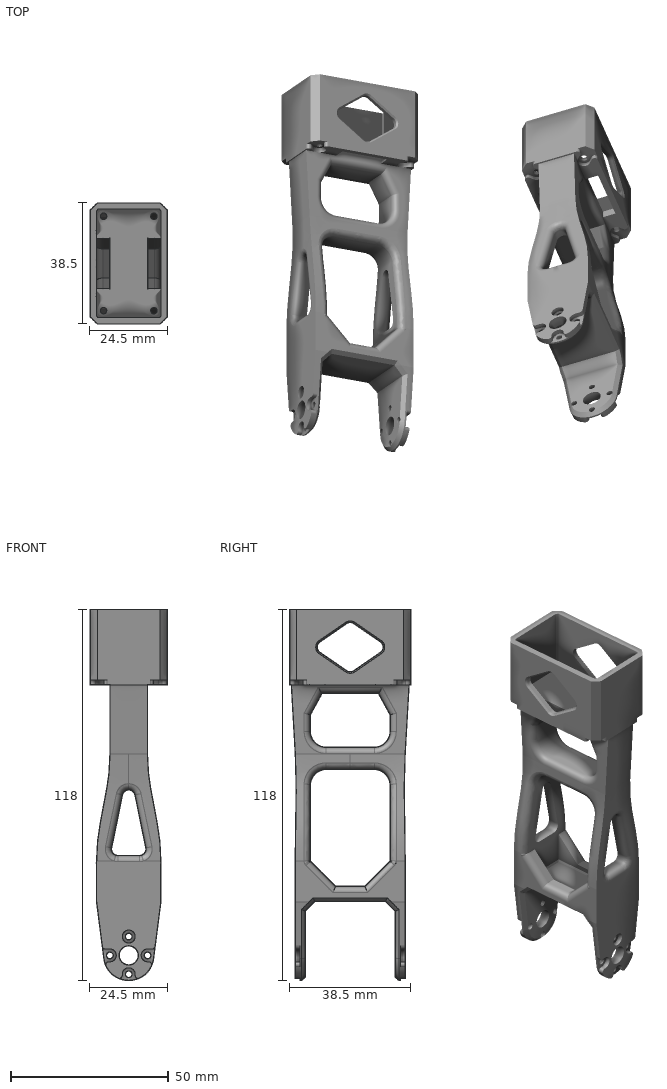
import cadquery as cq
import math


box_x = 24.5
box_y = 38.5
box_bottom = 86.0
box_top = 110.0
box_corner_chamfer = 2.25
box_wall = 2.0
box_floor = 3.0
cavity_corner_chamfer = 0.5
diamond_half_y = 12.0
diamond_half_z = 8.25
diamond_corner_radius = 2.0
diamond_chamfer = 0.5
floor_slot_length = 16.0

neck_half_x = 6.0
neck_top_half_y = 18.75
neck_bottom = 64.0
frame_half_x = 10.25
frame_half_y = 17.5
frame_bottom = 30.0
taper_start = 17.0
tip_radius = 8.0

rim_fillet = 2.0
window_half_y = 12.65
window_corner_radius = 5.0
upper_window_bottom = 66.2
upper_window_top = 83.2
upper_window_shoulder = 76.5
upper_window_top_half_y = 9.0
lower_window_bottom = 22.0
lower_window_top = 59.1
lower_window_bottom_half_y = window_half_y - (frame_bottom - lower_window_bottom)
triangle_bottom = 31.8
triangle_bottom_half_x = 5.9
triangle_top_center = 50.6
triangle_top_radius = 2.0
triangle_corner_radius = 2.0

hollow_half_x = 5.75
hollow_floor = 20.0
hollow_floor_chamfer = 0.5

fork_half_y = 14.25
fork_top = 17.1
fork_corner = 3.0
fork_chamfer = 1.2
pivot_diameter = 6.0

screw_hole_diameter = 2.05
screw_head_diameter = 4.1
screw_head_depth = 1.5
pocket_lip_radius = 1.0
fork_screw_circle_radius = 6.0
box_screw_x = 8.0
box_screw_y = 15.0

margin = 0.1


def front_profile():
    """Neck, flare and round tip as seen along Y, as deep as the box."""
    tip_distance = math.hypot(frame_half_x, taper_start)
    tangent_angle = math.atan2(taper_start, frame_half_x) - math.acos(tip_radius / tip_distance)
    tip_x = tip_radius * math.cos(tangent_angle)
    tip_z = tip_radius * math.sin(tangent_angle)
    down = (0, -1)
    up = (0, 1)
    return (
        cq.Workplane("XZ")
        .moveTo(neck_half_x, box_bottom)
        .lineTo(neck_half_x, neck_bottom)
        .spline([(frame_half_x, frame_bottom)], tangents=[down, down], includeCurrent=True)
        .lineTo(frame_half_x, taper_start)
        .lineTo(tip_x, tip_z)
        .threePointArc((0, -tip_radius), (-tip_x, tip_z))
        .lineTo(-frame_half_x, taper_start)
        .lineTo(-frame_half_x, frame_bottom)
        .spline([(-neck_half_x, neck_bottom)], tangents=[up, up], includeCurrent=True)
        .lineTo(-neck_half_x, box_bottom)
        .close()
        .extrude(box_y / 2, both=True)
    )


def side_profile():
    """Neck widening upward and fork legs as seen along X, as deep as the box."""
    lean_y = neck_top_half_y - frame_half_y
    lean_z = box_bottom - neck_bottom
    return (
        cq.Workplane("YZ")
        .moveTo(neck_top_half_y, box_bottom)
        .lineTo(frame_half_y, neck_bottom)
        .spline(
            [(frame_half_y, frame_bottom)],
            tangents=[(-lean_y, -lean_z), (0, -1)],
            includeCurrent=True,
        )
        .lineTo(frame_half_y, -tip_radius)
        .lineTo(fork_half_y, -tip_radius)
        .lineTo(fork_half_y, fork_top - fork_corner)
        .lineTo(fork_half_y - fork_corner, fork_top)
        .lineTo(fork_corner - fork_half_y, fork_top)
        .lineTo(-fork_half_y, fork_top - fork_corner)
        .lineTo(-fork_half_y, -tip_radius)
        .lineTo(-frame_half_y, -tip_radius)
        .lineTo(-frame_half_y, frame_bottom)
        .spline(
            [(-frame_half_y, neck_bottom)],
            tangents=[(0, 1), (-lean_y, lean_z)],
            includeCurrent=True,
        )
        .lineTo(-neck_top_half_y, box_bottom)
        .close()
        .extrude(box_x / 2, both=True)
    )


def edges_in_box(body, half_x, half_y, z_range):
    """Edges whose centres lie in the given ranges of |x|, |y| and z."""

    def inside(edge):
        center = edge.Center()
        values = (abs(center.x), abs(center.y), center.z)
        return all(low < v < high for v, (low, high) in zip(values, (half_x, half_y, z_range)))

    return body.newObject([edge for edge in body.edges().vals() if inside(edge)])


def frame_body():
    """Neck, frame and fork with the edges of the fork opening chamfered."""
    body = front_profile().intersect(side_profile())
    opening_edges = edges_in_box(
        body,
        (neck_half_x, box_x),
        (-margin, fork_half_y + margin),
        (-tip_radius, fork_top + margin),
    )
    return opening_edges.chamfer(fork_chamfer)


def prism_along_x(points):
    return cq.Workplane("YZ").polyline(points).close().extrude(box_x, both=True)


def upper_window():
    window = prism_along_x(
        [
            (-window_half_y, upper_window_bottom),
            (window_half_y, upper_window_bottom),
            (window_half_y, upper_window_shoulder),
            (upper_window_top_half_y, upper_window_top),
            (-upper_window_top_half_y, upper_window_top),
            (-window_half_y, upper_window_shoulder),
        ]
    )
    return window.edges("|X and <Z").fillet(window_corner_radius)


def lower_window():
    window = prism_along_x(
        [
            (-lower_window_bottom_half_y, lower_window_bottom),
            (lower_window_bottom_half_y, lower_window_bottom),
            (window_half_y, frame_bottom),
            (window_half_y, lower_window_top),
            (-window_half_y, lower_window_top),
            (-window_half_y, frame_bottom),
        ]
    )
    return window.edges("|X and >Z").fillet(window_corner_radius)


def triangle_window():
    """Tall opening whose straight sides run tangent into its round top."""
    height = triangle_top_center - triangle_bottom
    distance = math.hypot(triangle_bottom_half_x, height)
    angle = math.acos(triangle_top_radius / distance) - math.atan2(height, triangle_bottom_half_x)
    side_x = triangle_top_radius * math.cos(angle)
    side_z = triangle_top_center + triangle_top_radius * math.sin(angle)
    return (
        cq.Workplane("XZ")
        .moveTo(-triangle_bottom_half_x, triangle_bottom)
        .lineTo(triangle_bottom_half_x, triangle_bottom)
        .lineTo(side_x, side_z)
        .threePointArc((0, triangle_top_center + triangle_top_radius), (-side_x, side_z))
        .close()
        .extrude(box_y, both=True)
        .edges("|Y and <Z")
        .fillet(triangle_corner_radius)
    )


def cut_windows(body):
    """Cut each window right through and round its rim on the outer faces."""
    x_side = (neck_half_x - margin, box_x)
    x_window_width = (-margin, window_half_y + margin)

    triangle_top = triangle_top_center + triangle_top_radius
    triangle_range = (triangle_bottom - margin, triangle_top + margin)
    triangle_width = (-margin, triangle_bottom_half_x)
    y_side = (frame_half_y - 1, box_y)
    body = body.cut(triangle_window())
    body = edges_in_box(body, triangle_width, y_side, triangle_range).fillet(rim_fillet)

    lower_range = (lower_window_bottom - margin, lower_window_top + margin)
    body = body.cut(lower_window())
    body = edges_in_box(body, x_side, x_window_width, lower_range).fillet(rim_fillet)

    upper_range = (upper_window_bottom - margin, upper_window_top + margin)
    body = body.cut(upper_window())
    return edges_in_box(body, x_side, x_window_width, upper_range).fillet(rim_fillet)


def frame_hollow():
    """Space between the frame walls, below the shoulders of the lower window."""
    return (
        cq.Workplane("XY", origin=(0, 0, hollow_floor))
        .rect(2 * hollow_half_x, 2 * window_half_y)
        .extrude(frame_bottom - hollow_floor)
        .edges("<Z")
        .chamfer(hollow_floor_chamfer)
    )


def chamfered_block(size_x, size_y, bottom, chamfer):
    return (
        cq.Workplane("XY", origin=(0, 0, bottom))
        .rect(size_x, size_y)
        .extrude(box_top - bottom)
        .edges("|Z")
        .chamfer(chamfer)
    )


def diamond_cutter():
    """Diamond with rounded corners, long enough to pass through both long walls."""
    middle = (box_bottom + box_top) / 2
    diamond = prism_along_x(
        [
            (-diamond_half_y, middle),
            (0, middle - diamond_half_z),
            (diamond_half_y, middle),
            (0, middle + diamond_half_z),
        ]
    )
    return diamond.edges("|X").fillet(diamond_corner_radius)


def socket_box():
    """Open-topped box with a chamfered diamond opening in each long wall."""
    cavity_x = box_x - 2 * box_wall
    cavity_y = box_y - 2 * box_wall
    box = chamfered_block(box_x, box_y, box_bottom, box_corner_chamfer)
    box = box.cut(diamond_cutter())
    box = box.faces("<X or >X").edges("not(|Z or |Y)").chamfer(diamond_chamfer)
    cavity = chamfered_block(cavity_x, cavity_y, box_bottom + box_floor, cavity_corner_chamfer)
    return box.cut(cavity)


def floor_slots():
    """Slots through the box floor between the neck and the cavity walls."""
    width = box_x / 2 - box_wall - neck_half_x
    return (
        cq.Workplane("XY", origin=(0, 0, box_bottom))
        .pushPoints([(side * (neck_half_x + width / 2), 0) for side in (-1, 1)])
        .rect(width, floor_slot_length)
        .extrude(box_floor)
    )


def seat_plane(center, inward, outward):
    return cq.Plane(origin=center, xDir=outward, normal=inward)


def round_seat(plane, diameter, depth):
    return cq.Workplane(plane).circle(diameter / 2).extrude(depth)


def cut_open_seat(body, center, inward, outward):
    """Head pocket that opens outward, with the two lips at its mouth rounded."""
    plane = seat_plane(center, inward, outward)
    radius = screw_head_diameter / 2
    reach = 3 * radius
    tolerance = 1e-3
    channel = cq.Workplane(plane).center(reach / 2, 0).rect(reach, 2 * radius).extrude(screw_head_depth)
    pocket = round_seat(plane, screw_head_diameter, screw_head_depth).union(channel)
    body = body.cut(pocket)
    mouth = []
    for edge in body.edges().vals():
        offset = plane.toLocalCoords(edge.Center())
        is_depth_long = abs(edge.Length() - screw_head_depth) < tolerance
        is_at_mid_depth = abs(offset.z - screw_head_depth / 2) < tolerance
        is_on_wall = abs(abs(offset.y) - radius) < tolerance
        if is_depth_long and is_at_mid_depth and is_on_wall and margin < offset.x < reach:
            mouth.append(edge)
    return body.newObject(mouth).fillet(pocket_lip_radius)


def cut_box_screws(body):
    up = (0, 0, 1)
    for x_sign in (-1, 1):
        for y_sign in (-1, 1):
            center = (x_sign * box_screw_x, y_sign * box_screw_y, box_bottom)
            outward = (x_sign, y_sign, 0)
            body = cut_open_seat(body, center, up, outward)
            plane = seat_plane(center, up, outward)
            body = body.cut(round_seat(plane, screw_hole_diameter, box_floor))
    return body


def cut_fork_screws(body):
    """Pivot hole and four screws in each leg; only the upper screw head pocket is closed."""
    leg_thickness = frame_half_y - fork_half_y
    for side in (-1, 1):
        inward = (0, -side, 0)
        pivot = seat_plane((0, side * frame_half_y, 0), inward, (1, 0, 0))
        body = body.cut(round_seat(pivot, pivot_diameter, leg_thickness))
        for outward in ((1, 0, 0), (-1, 0, 0), (0, 0, -1), (0, 0, 1)):
            center = (
                fork_screw_circle_radius * outward[0],
                side * frame_half_y,
                fork_screw_circle_radius * outward[2],
            )
            plane = seat_plane(center, inward, outward)
            if outward[2] > 0:
                body = body.cut(round_seat(plane, screw_head_diameter, screw_head_depth))
            else:
                body = cut_open_seat(body, center, inward, outward)
            body = body.cut(round_seat(plane, screw_hole_diameter, leg_thickness))
    return body


body = cut_windows(frame_body())
body = body.cut(frame_hollow())
body = body.union(socket_box())
body = body.cut(floor_slots())
body = cut_box_screws(body)
result = cut_fork_screws(body)